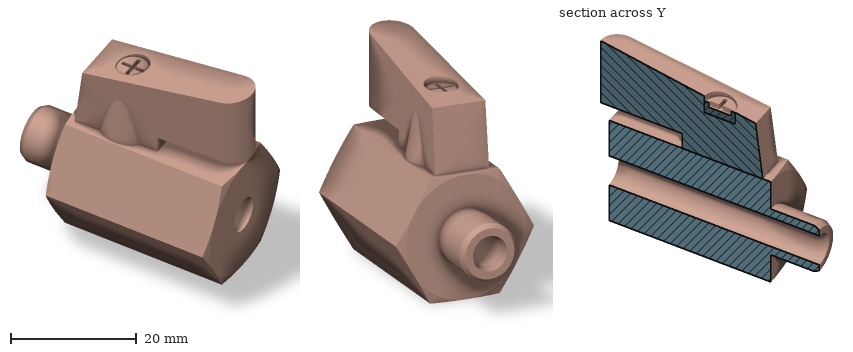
import cadquery as cq
import math

SPOUT_LENGTH = 9.0
SPOUT_DIAMETER = 9.7
SPOUT_TIP_DIAMETER = 8.58
SPOUT_BEVEL_LENGTH = 1.0
BORE_DIAMETER = 6.0
HEX_CORNER_DIAMETER = 24.25
HEX_FLAT_WIDTH = HEX_CORNER_DIAMETER * math.cos(math.radians(30))
HEX_LENGTH = 29.9
HEX_BEVEL_LENGTH = 0.45
BODY_LENGTH = SPOUT_LENGTH + HEX_LENGTH
HEX_TOP = HEX_FLAT_WIDTH / 2

HANDLE_TIP_X = 40.45
HANDLE_TIP_RADIUS = 3.75
HANDLE_BACK_X = 10.45
HANDLE_BACK_WIDTH = 9.42
HANDLE_BACK_LEAN = 1.35
HANDLE_BACK_HEIGHT = 11.0
HANDLE_TIP_HEIGHT = 15.98
GRIP_START_X = 25.35
GRIP_CLEARANCE = 2.95

TURN_AXIS_X = 18.4
HUB_BASE_RADIUS = 5.75
HUB_TOP_RADIUS = 4.3
HUB_HEIGHT = 9.0

SCREW_DIAMETER = 5.6
SCREW_FACE_DIAMETER = 4.6
SCREW_TOP_HEIGHT = 11.7
SCREW_HEIGHT = 2.43
CROSS_LENGTH = 4.05
CROSS_WIDTH = 0.73
CROSS_DEPTH = 1.0


def make_bevelled_hexagon():
    """Hexagonal bar along X, with its corners turned off conically at both ends."""
    hexagon = (
        cq.Workplane("YZ", origin=(SPOUT_LENGTH, 0, 0))
        .polygon(6, HEX_CORNER_DIAMETER)
        .extrude(HEX_LENGTH)
    )
    corner_radius = HEX_CORNER_DIAMETER / 2
    turned_envelope = (
        cq.Workplane("XY")
        .moveTo(SPOUT_LENGTH, 0)
        .lineTo(SPOUT_LENGTH, HEX_TOP)
        .lineTo(SPOUT_LENGTH + HEX_BEVEL_LENGTH, corner_radius)
        .lineTo(BODY_LENGTH - HEX_BEVEL_LENGTH, corner_radius)
        .lineTo(BODY_LENGTH, HEX_TOP)
        .lineTo(BODY_LENGTH, 0)
        .close()
        .revolve(360, (0, 0, 0), (1, 0, 0))
    )
    return hexagon.intersect(turned_envelope)


def make_spout():
    """Round spout with a bevelled tip."""
    return (
        cq.Workplane("XY")
        .lineTo(0, SPOUT_TIP_DIAMETER / 2)
        .lineTo(SPOUT_BEVEL_LENGTH, SPOUT_DIAMETER / 2)
        .lineTo(SPOUT_LENGTH, SPOUT_DIAMETER / 2)
        .lineTo(SPOUT_LENGTH, 0)
        .close()
        .revolve(360, (0, 0, 0), (1, 0, 0))
    )


def make_body():
    """Hexagonal valve body and spout with a bore right through."""
    bore = cq.Workplane("YZ").circle(BORE_DIAMETER / 2).extrude(BODY_LENGTH)
    return make_bevelled_hexagon().union(make_spout()).cut(bore)


def make_handle_plan():
    """Tapered prism whose straight sides run tangent into the round tip."""
    half_width = HANDLE_BACK_WIDTH / 2
    tip_center_x = HANDLE_TIP_X - HANDLE_TIP_RADIUS
    run = tip_center_x - HANDLE_BACK_X
    taper = math.asin(HANDLE_TIP_RADIUS / math.hypot(run, half_width))
    tangent_angle = math.pi / 2 - (math.atan2(half_width, run) - taper)
    tangent_x = tip_center_x + HANDLE_TIP_RADIUS * math.cos(tangent_angle)
    tangent_y = HANDLE_TIP_RADIUS * math.sin(tangent_angle)
    return (
        cq.Workplane("XY", origin=(0, 0, HEX_TOP))
        .moveTo(HANDLE_BACK_X, -half_width)
        .lineTo(tangent_x, -tangent_y)
        .threePointArc((HANDLE_TIP_X, 0), (tangent_x, tangent_y))
        .lineTo(HANDLE_BACK_X, half_width)
        .close()
        .extrude(HANDLE_TIP_HEIGHT)
    )


def make_handle_profile():
    """Side outline: leaning back, sloping top and raised grip."""
    return (
        cq.Workplane("XZ", origin=(0, 0, HEX_TOP))
        .moveTo(HANDLE_BACK_X, 0)
        .lineTo(HANDLE_BACK_X + HANDLE_BACK_LEAN, HANDLE_BACK_HEIGHT)
        .lineTo(HANDLE_TIP_X, HANDLE_TIP_HEIGHT)
        .lineTo(HANDLE_TIP_X, GRIP_CLEARANCE)
        .lineTo(GRIP_START_X, GRIP_CLEARANCE)
        .lineTo(GRIP_START_X, 0)
        .close()
        .extrude(HANDLE_BACK_WIDTH / 2, both=True)
    )


def make_hub():
    """Cone that widens the foot of the handle."""
    return cq.Workplane(
        cq.Solid.makeCone(
            HUB_BASE_RADIUS, HUB_TOP_RADIUS, HUB_HEIGHT, pnt=cq.Vector(TURN_AXIS_X, 0, HEX_TOP)
        )
    )


def make_handle():
    """Handle with its hub and the blind hole that holds the screw."""
    screw_hole = (
        cq.Workplane("XY", origin=(TURN_AXIS_X, 0, HEX_TOP + SCREW_TOP_HEIGHT - SCREW_HEIGHT))
        .circle(SCREW_DIAMETER / 2)
        .extrude(HANDLE_TIP_HEIGHT)
    )
    lever = make_handle_plan().intersect(make_handle_profile())
    return lever.union(make_hub()).cut(screw_hole)


def make_screw():
    """Screw with a rounded rim and a cross recess."""
    screw_top = HEX_TOP + SCREW_TOP_HEIGHT
    rim_radius = (SCREW_DIAMETER - SCREW_FACE_DIAMETER) / 2
    screw = (
        cq.Workplane("XY", origin=(TURN_AXIS_X, 0, screw_top - SCREW_HEIGHT))
        .circle(SCREW_DIAMETER / 2)
        .extrude(SCREW_HEIGHT)
        .faces(">Z")
        .fillet(rim_radius)
    )
    recess_plane = cq.Workplane("XY", origin=(TURN_AXIS_X, 0, screw_top))
    for slot_length, slot_width in ((CROSS_LENGTH, CROSS_WIDTH), (CROSS_WIDTH, CROSS_LENGTH)):
        screw = screw.cut(recess_plane.rect(slot_length, slot_width).extrude(-CROSS_DEPTH))
    return screw


body = make_body()
handle = make_handle()
screw = make_screw()

result = cq.Compound.makeCompound([body.val(), handle.val(), screw.val()])